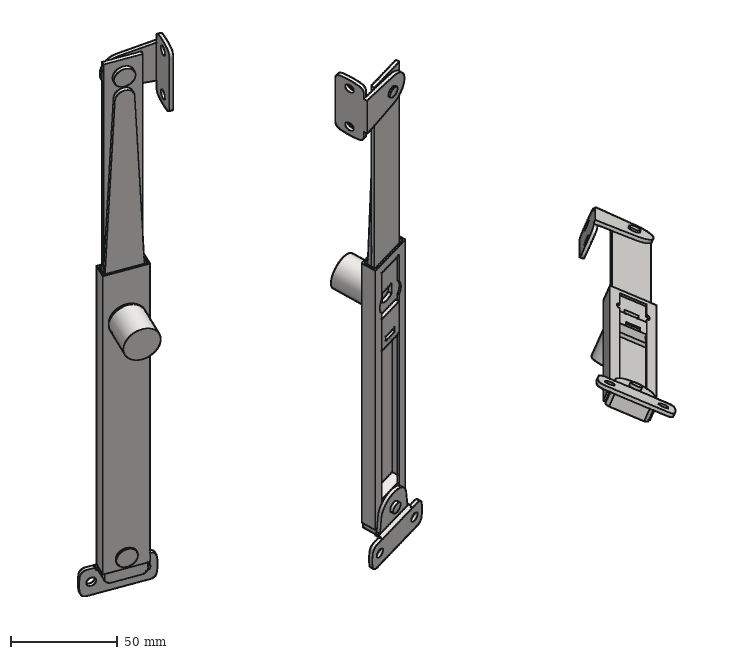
import cadquery as cq
import math


OVERALL_HEIGHT = 348.0
MOUNT_LENGTH = 40.0
SHEET = 2.0

MOUNT_WIDTH = 16.6
MOUNT_END_BULGE = 1.2
MOUNT_CORNER = 3.5
SCREW_HOLE_DIA = 5.0
SCREW_HOLE_SPACING = 27.6

TAB_RADIUS = 10.0
TAB_ROOT_HALF = 12.0

FOOT_PIVOT_Z = 27.8
FOOT_TAB_X = SHEET
FOOT_TAB_ROOT_HALF = 11.0
FOOT_STEP_TOP = 18.1

TOP_PIVOT_Z = OVERALL_HEIGHT - MOUNT_LENGTH / 2
TOP_TAB_X = 3.0
TOP_FLANGE_X = TOP_TAB_X + SHEET
TOP_FLANGE_BACK_Y = MOUNT_LENGTH / 2

CHANNEL_X = FOOT_TAB_X + SHEET
CHANNEL_DEPTH = 8.0
CHANNEL_WIDTH = 24.0
CHANNEL_WALL = 1.0
CHANNEL_BOTTOM_Z = 20.5
CHANNEL_TOP_Z = 208.5
CHANNEL_BACK_X = CHANNEL_X + CHANNEL_DEPTH
SLOT_WIDTH = 13.8
SLOT_TOP_Z = 202.0
KEYHOLE_DIA = 17.0

PLUG_WIDTH = CHANNEL_WIDTH - 2 * CHANNEL_WALL
PLUG_BOTTOM_Z = 14.0
PLUG_TOP_Z = 36.0
PLUG_CHAMFER = 2.0

ARM_X = CHANNEL_X + SHEET
ARM_WIDTH = 2 * TAB_RADIUS
ARM_TOP_Z = TOP_PIVOT_Z + ARM_WIDTH / 2
ARM_BOTTOM_Z = 145.5
PAD_TOP_Z = 168.5
ARM_OPENING_WIDTH = 7.3
ARM_OPENING_TOP_Z = 183.0
ARM_OPENING_CORNER_Z = 175.9
ARM_OPENING_BOTTOM_Z = 174.6
WINDOW_HEIGHT = 3.1
WINDOW_Z = 151.3

BAR_X = ARM_X + SHEET
BAR_TOP_Z = 320.0
BAR_TIP_RADIUS = 5.0

KNOB_Z = 178.0
KNOB_DIA = 19.0
KNOB_END_X = 31.8
NECK_LENGTH = 1.0
NECK_DIA = 18.0

RIVET_DIA = 6.0
RIVET_HEAD_DIA = 11.0
FOOT_RIVET_X = 0.2
FOOT_RIVET_HEAD = 1.0
TOP_RIVET_X = 2.0
TOP_RIVET_HEAD = SHEET


def box(x_range, y_range, z_range):
    """Box between the given limits."""
    size = [high - low for low, high in (x_range, y_range, z_range)]
    corner = (x_range[0], y_range[0], z_range[0])
    return cq.Workplane("XY").box(*size, centered=False).translate(corner)


def rod(x_start, x_end, z, diameter):
    """Cylinder along X, centred on y = 0."""
    plane = cq.Workplane("YZ", origin=(x_start, 0, z))
    return plane.circle(diameter / 2).extrude(x_end - x_start)


def mount_flange():
    """Flange lying in XY: width along X from 0, length along Y, thickness up from z = 0."""
    end_y = MOUNT_LENGTH / 2
    corner_y = end_y - MOUNT_END_BULGE
    middle_x = MOUNT_WIDTH / 2
    flange = (
        cq.Workplane("XY")
        .moveTo(0, -corner_y)
        .threePointArc((middle_x, -end_y), (MOUNT_WIDTH, -corner_y))
        .lineTo(MOUNT_WIDTH, corner_y)
        .threePointArc((middle_x, end_y), (0, corner_y))
        .close()
        .extrude(SHEET)
        .edges("|Z")
        .fillet(MOUNT_CORNER)
    )
    half_spacing = SCREW_HOLE_SPACING / 2
    holes = (
        cq.Workplane("XY")
        .pushPoints([(middle_x, -half_spacing), (middle_x, half_spacing)])
        .circle(SCREW_HOLE_DIA / 2)
        .extrude(SHEET)
    )
    return flange.cut(holes)


def tapered_outline(plane, tip_radius, root_half, length):
    """Outline with a round tip about the origin and tangent sides that widen down to y = -length.

    `lean` is the tilt of the sides; they touch the tip at that angle from its centre line
    and reach `root_half` at the root.
    """
    lean = math.acos(tip_radius / math.hypot(length, root_half)) - math.atan2(length, root_half)
    touch_x = tip_radius * math.cos(lean)
    touch_y = tip_radius * math.sin(lean)
    return (
        plane.moveTo(-root_half, -length)
        .lineTo(-touch_x, touch_y)
        .threePointArc((0, tip_radius), (touch_x, touch_y))
        .lineTo(root_half, -length)
        .close()
    )


def make_foot_bracket():
    flange = mount_flange().rotate((0, 0, 0), (0, 1, 0), -90).translate((SHEET, 0, 0))
    step = (
        cq.Workplane("XZ", origin=(0, TAB_ROOT_HALF, 0))
        .moveTo(0, MOUNT_WIDTH - SHEET)
        .lineTo(SHEET, MOUNT_WIDTH - SHEET)
        .lineTo(SHEET, MOUNT_WIDTH)
        .lineTo(FOOT_TAB_X + SHEET, MOUNT_WIDTH)
        .lineTo(FOOT_TAB_X + SHEET, FOOT_STEP_TOP)
        .lineTo(FOOT_TAB_X, FOOT_STEP_TOP)
        .lineTo(0, MOUNT_WIDTH)
        .close()
        .extrude(2 * TAB_ROOT_HALF)
    )
    plane = cq.Workplane("YZ", origin=(FOOT_TAB_X, 0, FOOT_PIVOT_Z))
    tab_length = FOOT_PIVOT_Z - FOOT_STEP_TOP
    tab = tapered_outline(plane, TAB_RADIUS, FOOT_TAB_ROOT_HALF, tab_length).extrude(SHEET)
    hole = rod(FOOT_TAB_X, FOOT_TAB_X + SHEET, FOOT_PIVOT_Z, RIVET_DIA)
    return flange.union(step).union(tab).cut(hole)


def make_top_bracket():
    flange = (
        mount_flange()
        .rotate((0, 0, 0), (1, 0, 0), 90)
        .translate((TOP_FLANGE_X, TOP_FLANGE_BACK_Y, TOP_PIVOT_Z))
    )
    tab_length = TOP_FLANGE_BACK_Y - SHEET
    tip_plane = cq.Plane(origin=(TOP_TAB_X, 0, TOP_PIVOT_Z), xDir=(0, 0, 1), normal=(1, 0, 0))
    tab = tapered_outline(cq.Workplane(tip_plane), TAB_RADIUS, TAB_ROOT_HALF, tab_length).extrude(SHEET)
    corner = box(
        (TOP_TAB_X, TOP_FLANGE_X + MOUNT_CORNER),
        (TOP_FLANGE_BACK_Y - SHEET, TOP_FLANGE_BACK_Y),
        (TOP_PIVOT_Z - TAB_ROOT_HALF, TOP_PIVOT_Z + TAB_ROOT_HALF),
    )
    hole = rod(TOP_TAB_X, TOP_TAB_X + SHEET, TOP_PIVOT_Z, RIVET_DIA)
    return tab.union(corner).union(flange).cut(hole)


def make_channel():
    half = CHANNEL_WIDTH / 2
    inner_half = half - CHANNEL_WALL
    heights = (CHANNEL_BOTTOM_Z, CHANNEL_TOP_Z)
    front_x = CHANNEL_X + CHANNEL_WALL
    back_x = CHANNEL_BACK_X - CHANNEL_WALL
    tube = box((CHANNEL_X, CHANNEL_BACK_X), (-half, half), heights)
    bore = box((front_x, back_x), (-inner_half, inner_half), heights)
    slot = box((CHANNEL_X, front_x), (-SLOT_WIDTH / 2, SLOT_WIDTH / 2), (CHANNEL_BOTTOM_Z, SLOT_TOP_Z))
    keyhole = rod(CHANNEL_X, front_x, KNOB_Z, KEYHOLE_DIA)
    rivet_hole = rod(CHANNEL_X, CHANNEL_BACK_X, FOOT_PIVOT_Z, RIVET_DIA)
    return tube.cut(bore).cut(slot).cut(keyhole).cut(rivet_hole)


def make_plug():
    half = PLUG_WIDTH / 2
    foot = box((CHANNEL_X, CHANNEL_BACK_X), (-half, half), (PLUG_BOTTOM_Z, CHANNEL_BOTTOM_Z))
    foot = foot.faces("<Z").edges("|X").chamfer(PLUG_CHAMFER)
    core = box(
        (CHANNEL_X + CHANNEL_WALL, CHANNEL_BACK_X - CHANNEL_WALL),
        (-half, half),
        (CHANNEL_BOTTOM_Z, PLUG_TOP_Z),
    )
    rivet_hole = rod(CHANNEL_X, CHANNEL_BACK_X, FOOT_PIVOT_Z, RIVET_DIA)
    return foot.union(core).cut(rivet_hole)


def make_arm():
    half = ARM_WIDTH / 2
    strip = box((ARM_X, BAR_X), (-half, half), (ARM_BOTTOM_Z, ARM_TOP_Z))
    pad = box((CHANNEL_X, ARM_X), (-SLOT_WIDTH / 2, SLOT_WIDTH / 2), (ARM_BOTTOM_Z, PAD_TOP_Z))
    opening_half = ARM_OPENING_WIDTH / 2
    window = box(
        (CHANNEL_X, BAR_X),
        (-opening_half, opening_half),
        (WINDOW_Z - WINDOW_HEIGHT / 2, WINDOW_Z + WINDOW_HEIGHT / 2),
    )
    opening = (
        cq.Workplane("YZ", origin=(ARM_X, 0, 0))
        .moveTo(-opening_half, ARM_OPENING_TOP_Z)
        .lineTo(-opening_half, ARM_OPENING_CORNER_Z)
        .threePointArc((0, ARM_OPENING_BOTTOM_Z), (opening_half, ARM_OPENING_CORNER_Z))
        .lineTo(opening_half, ARM_OPENING_TOP_Z)
        .close()
        .extrude(SHEET)
    )
    rivet_hole = rod(ARM_X, BAR_X, TOP_PIVOT_Z, RIVET_DIA)
    return strip.union(pad).cut(window).cut(opening).cut(rivet_hole)


def make_tapered_bar():
    half = ARM_WIDTH / 2
    tip_z = BAR_TOP_Z - BAR_TIP_RADIUS
    plane = cq.Workplane("YZ", origin=(BAR_X, 0, tip_z))
    taper = tapered_outline(plane, BAR_TIP_RADIUS, half, tip_z - CHANNEL_TOP_Z).extrude(SHEET)
    return taper.union(box((BAR_X, BAR_X + SHEET), (-half, half), (ARM_BOTTOM_Z, CHANNEL_TOP_Z)))


def make_knob():
    neck_end_x = CHANNEL_BACK_X + NECK_LENGTH
    grip = rod(neck_end_x, KNOB_END_X, KNOB_Z, KNOB_DIA)
    return grip.union(rod(CHANNEL_BACK_X, neck_end_x, KNOB_Z, NECK_DIA))


def make_rivet(start_x, head_x, head_thickness, z):
    """Rivet with a plain end at start_x and a wide head from head_x on."""
    head = rod(head_x, head_x + head_thickness, z, RIVET_HEAD_DIA)
    return rod(start_x, head_x, z, RIVET_DIA).union(head)


foot_bracket = make_foot_bracket()
foot_rivet = make_rivet(FOOT_RIVET_X, CHANNEL_BACK_X, FOOT_RIVET_HEAD, FOOT_PIVOT_Z)
channel = make_channel()
end_plug = make_plug()
arm = make_arm()
tapered_bar = make_tapered_bar()
knob = make_knob()
top_bracket = make_top_bracket()
top_rivet = make_rivet(TOP_RIVET_X, BAR_X, TOP_RIVET_HEAD, TOP_PIVOT_Z)

bodies = [
    foot_bracket, foot_rivet, channel, end_plug, arm, tapered_bar, knob, top_bracket, top_rivet,
]
result = cq.Compound.makeCompound([body.val() for body in bodies])